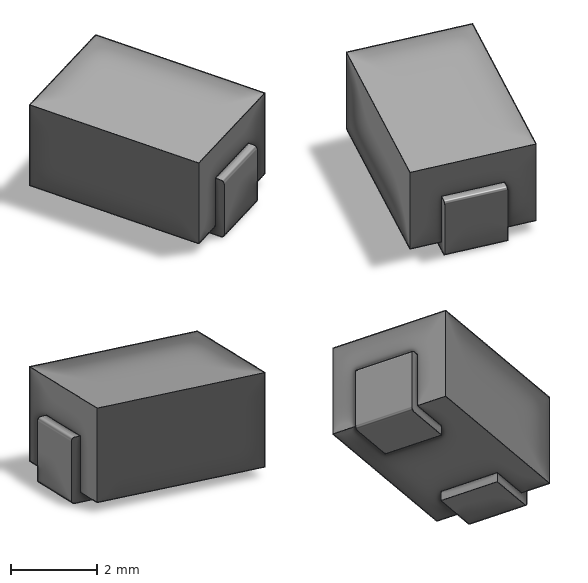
import cadquery as cq

overall_length = 5.0
overall_width = 3.1
overall_height = 2.6

body_length = 4.52
body_clearance = 0.25

terminal_width = 1.55
terminal_height = 1.65
foot_length = 1.29
bend_radius = 0.095

half_length = overall_length / 2
side_thickness = (overall_length - body_length) / 2


def make_body():
    """Plain rectangular body raised above the mounting plane."""
    return (
        cq.Workplane("XY")
        .workplane(offset=body_clearance)
        .box(
            body_length,
            overall_width,
            overall_height - body_clearance,
            centered=(True, True, False),
        )
    )


def make_left_terminal():
    """L-shaped terminal: a plate up the end face and a foot under the body."""
    outer_x = -half_length
    return (
        cq.Workplane("XZ")
        .moveTo(outer_x, 0)
        .lineTo(outer_x + foot_length, 0)
        .lineTo(outer_x + foot_length, body_clearance)
        .lineTo(outer_x + side_thickness, body_clearance)
        .lineTo(outer_x + side_thickness, terminal_height)
        .lineTo(outer_x, terminal_height)
        .close()
        .extrude(terminal_width / 2, both=True)
        .edges("|Y and <X")
        .fillet(bend_radius)
    )


left_terminal = make_left_terminal()
right_terminal = left_terminal.mirror("YZ")
result = make_body().union(left_terminal).union(right_terminal)